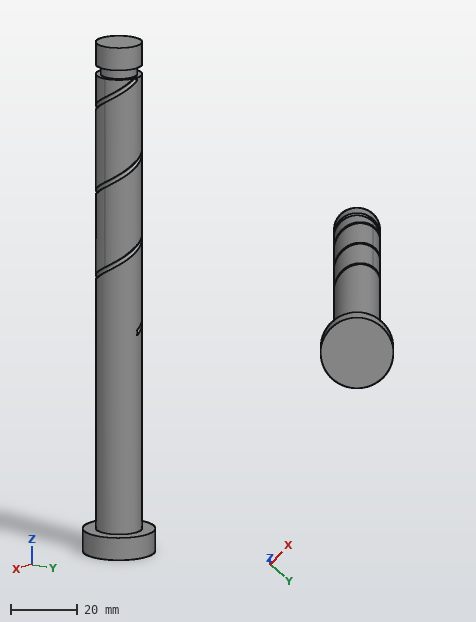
import cadquery as cq

total_height = 160.0
flange_diameter = 22.0
flange_height = 7.0
shaft_diameter = 14.0
tip_height = 7.0
neck_diameter = 11.2
neck_height = 3.0

groove_radius = 0.8
groove_pitch = 26.7
groove_turns = 3

shaft_radius = shaft_diameter / 2
neck_base = total_height - tip_height - neck_height
groove_height = groove_turns * groove_pitch
groove_base = neck_base - groove_height


def make_pin():
    """Flanged shaft with a narrow neck below its tip."""
    flange = cq.Workplane("XY").circle(flange_diameter / 2).extrude(flange_height)
    shaft = cq.Workplane("XY").circle(shaft_radius).extrude(total_height)
    neck_cut = (
        cq.Workplane("XY", origin=(0, 0, neck_base))
        .circle(shaft_diameter)
        .circle(neck_diameter / 2)
        .extrude(neck_height)
    )
    return flange.union(shaft.cut(neck_cut))


def make_helical_groove():
    """Right-handed cutter that starts on the +Y side and ends at the neck."""
    helix = cq.Wire.makeHelix(groove_pitch, groove_height, shaft_radius)
    cutter = (
        cq.Workplane("XZ", origin=(shaft_radius, 0, 0))
        .circle(groove_radius)
        .sweep(cq.Workplane(helix), isFrenet=True)
    )
    start_angle = 90
    return cutter.rotate((0, 0, 0), (0, 0, 1), start_angle).translate((0, 0, groove_base))


result = make_pin().cut(make_helical_groove())